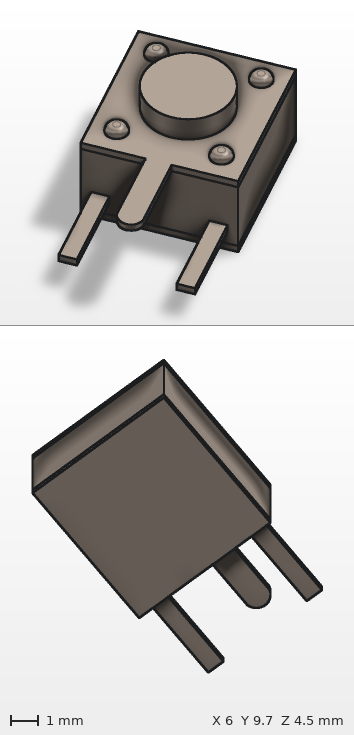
import cadquery as cq
import math

body_width = 6.0
body_depth = 6.2
body_height = 3.5
plate_thickness = 0.3
front_y = -body_depth / 2
cover_bottom = body_height - plate_thickness

button_diameter = 3.49
button_height = 1.0

rivet_diameter = 0.89
rivet_height = 0.3
rivet_spacing_x = 4.0
rivet_spacing_y = 4.26
rivet_offset_y = 0.07

tab_width = 1.0
tab_length = 3.46
tab_tip_rise = 0.4
tab_offset_x = -0.03

pin_width = 0.7
pin_thickness = 0.3
overall_depth = 9.7
pin_length = overall_depth - body_depth
pin_spacing = 4.5
pin_bottom = 0.9


def make_slab(thickness, bottom):
    """Full-size rectangular layer of the switch."""
    slab = cq.Workplane("XY").box(body_width, body_depth, thickness, centered=(True, True, False))
    return slab.translate((0, 0, bottom))


def make_tab():
    """Flat tab reaching forward from the cover, with an arched tip."""
    half_width = tab_width / 2
    tip_start = tab_tip_rise - tab_length
    tab = (
        cq.Workplane("XY")
        .moveTo(-half_width, 0)
        .lineTo(-half_width, tip_start)
        .threePointArc((0, -tab_length), (half_width, tip_start))
        .lineTo(half_width, 0)
        .close()
        .extrude(plate_thickness)
    )
    return tab.translate((tab_offset_x, front_y, cover_bottom))


def make_rivet_heads():
    """Four heads standing on the cover, each rounded over its full height to a small flat top."""
    radius = rivet_diameter / 2
    flat_radius = radius - rivet_height
    arc_reach = rivet_height * math.sqrt(0.5)
    head = (
        cq.Workplane("XZ")
        .lineTo(radius, 0)
        .threePointArc((flat_radius + arc_reach, arc_reach), (flat_radius, rivet_height))
        .lineTo(0, rivet_height)
        .close()
        .revolve(360, (0, 0), (0, 1))
    )
    return (
        cq.Workplane("XY", origin=(0, rivet_offset_y, body_height))
        .rarray(rivet_spacing_x, rivet_spacing_y, 2, 2)
        .eachpoint(lambda place: head.val().moved(place), combine=False)
    )


def make_cover():
    """Top plate with its ground tab and rivet heads."""
    return make_slab(plate_thickness, cover_bottom).union(make_tab()).union(make_rivet_heads())


def make_button():
    """Round button standing on the cover."""
    button = cq.Workplane("XY", origin=(0, 0, body_height))
    return button.circle(button_diameter / 2).extrude(button_height)


def make_pin(center_x):
    """Straight terminal reaching forward from the housing front."""
    pin = cq.Workplane("XY").box(pin_width, pin_length, pin_thickness, centered=(True, False, False))
    return pin.translate((center_x, front_y - pin_length, pin_bottom))


base_plate = make_slab(plate_thickness, 0)
housing = make_slab(cover_bottom - plate_thickness, plate_thickness)
cover = make_cover()
button = make_button()
pins = [make_pin(side * pin_spacing / 2) for side in (-1, 1)]

result = cq.Compound.makeCompound([
    base_plate.val(),
    housing.val(),
    cover.val(),
    button.val(),
    *[pin.val() for pin in pins],
])